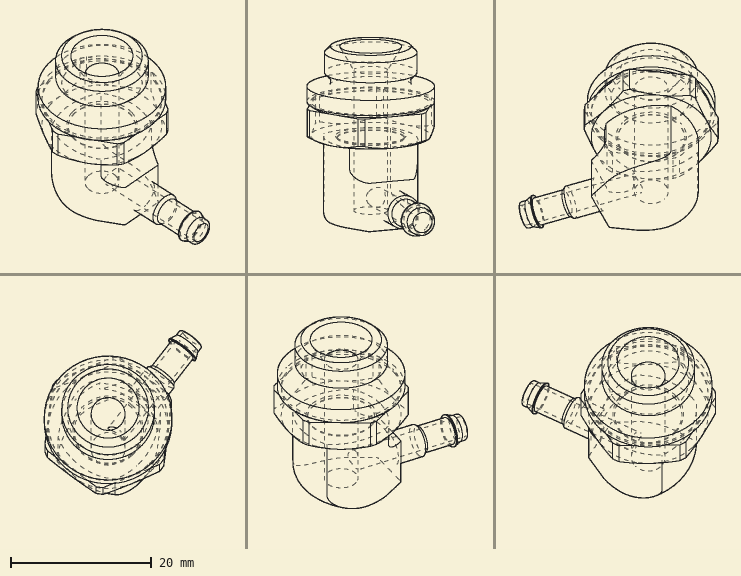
import cadquery as cq
import math

total_length = 28.57

total_height = 25.05
body_height = 11.7
nut_bottom = 12.03
nut_top = 16.63
flange_bottom = 17.03
flange_top = 19.25
thread_bottom = 21.25

thread_diameter = 13.17
thread_end_diameter = 11.45
groove_diameter = 11.45
flange_diameter = 18.15
ring_diameter = 17.0
neck_diameter = 9.55
thread_end_chamfer = 0.89
groove_cone_fillet = 0.3
groove_fillet = 0.43
neck_fillet = 0.23

nut_sides = 6
nut_across_flats = 17.03
nut_corner_diameter = 19.1
nut_chamfer_angle = 30

body_half_width = 6.49
side_radius = 9.7
side_offset = side_radius - body_half_width
heel_fillet = 2.97
foot_side_radius = 8.85
foot_end = 7.83
foot_height = 7.05
foot_fillet = 1.55
foot_face_start = 4.23
foot_face_angle = 30
foot_edge_fillet = 0.37

barb_axis_height = 3.55
barb_end = total_length - flange_diameter / 2
shank_diameter = 4.8
stem_diameter = 4.0
tip_diameter = 3.9
shank_end = 12.37
shoulder_end = 12.7
stem_start = 12.89
shoulder_diameter = 4.23
barb_start = 17.37
barb_land = 0.15
barb_rounding_length = 0.1
barb_rounding_drop = 0.05
barb_cone_end = 18.55
tip_fillet = 0.25
root_fillet = 0.3

bore_diameter = 4.8
mouth_diameter = 8.8
mouth_half_angle = 30
barb_bore_diameter = 2.9

diagonal = math.sqrt(0.5)


def make_stud():
    neck_r = neck_diameter / 2
    ring_r = ring_diameter / 2
    flange_r = flange_diameter / 2
    groove_r = groove_diameter / 2
    thread_r = thread_diameter / 2
    cone_end_r = groove_r + groove_cone_fillet * (1 - diagonal)
    cone_end_z = thread_bottom - (thread_r - cone_end_r)
    groove_floor_top = cone_end_z - groove_cone_fillet * diagonal
    half_cone_turn = math.radians(45 / 2)
    cone_arc_middle = (
        groove_r + groove_cone_fillet * (1 - math.cos(half_cone_turn)),
        groove_floor_top + groove_cone_fillet * math.sin(half_cone_turn),
    )
    arc_inset = groove_fillet * (1 - diagonal)
    return (
        cq.Workplane("XZ")
        .moveTo(0, body_height)
        .lineTo(neck_r, body_height)
        .lineTo(neck_r, nut_bottom - neck_fillet)
        .lineTo(neck_r + neck_fillet, nut_bottom)
        .lineTo(ring_r, nut_bottom)
        .lineTo(ring_r, flange_bottom)
        .lineTo(flange_r, flange_bottom)
        .lineTo(flange_r, flange_top)
        .lineTo(groove_r + groove_fillet, flange_top)
        .threePointArc(
            (groove_r + arc_inset, flange_top + arc_inset),
            (groove_r, flange_top + groove_fillet),
        )
        .lineTo(groove_r, groove_floor_top)
        .threePointArc(cone_arc_middle, (cone_end_r, cone_end_z))
        .lineTo(thread_r, thread_bottom)
        .lineTo(thread_r, total_height - thread_end_chamfer)
        .lineTo(thread_end_diameter / 2, total_height)
        .lineTo(0, total_height)
        .close()
        .revolve(360, (0, 0, 0), (0, 1, 0))
    )


def make_nut():
    flat_r = nut_across_flats / 2
    corner_r = nut_corner_diameter / 2
    half_sector = 180 / nut_sides
    hex_diameter = nut_across_flats / math.cos(math.radians(half_sector))
    chamfer_height = (corner_r - flat_r) * math.tan(math.radians(nut_chamfer_angle))
    hexagon = (
        cq.Workplane("XY", origin=(0, 0, nut_bottom))
        .transformed(rotate=(0, 0, half_sector))
        .polygon(nut_sides, hex_diameter)
        .extrude(nut_top - nut_bottom)
    )
    turned_blank = (
        cq.Workplane("XZ")
        .moveTo(0, nut_bottom)
        .lineTo(flat_r, nut_bottom)
        .lineTo(corner_r, nut_bottom + chamfer_height)
        .lineTo(corner_r, nut_top)
        .lineTo(0, nut_top)
        .close()
        .revolve(360, (0, 0, 0), (0, 1, 0))
    )
    return hexagon.intersect(turned_blank)


def make_plan():
    """Bulging -Y and +Y sides that run into the slanting faces and flat end of the foot."""
    slope = math.tan(math.radians(foot_face_angle))
    start_y = math.sqrt(side_radius**2 - foot_face_start**2) - side_offset
    end_y = start_y - (foot_end - foot_face_start) * slope
    back_y = math.sqrt(side_radius**2 - body_half_width**2) - side_offset
    return (
        cq.Workplane("XY")
        .moveTo(foot_end, -end_y)
        .lineTo(foot_end, end_y)
        .lineTo(foot_face_start, start_y)
        .threePointArc((0, body_half_width), (-body_half_width, back_y))
        .lineTo(-body_half_width, -back_y)
        .threePointArc((0, -body_half_width), (foot_face_start, -start_y))
        .close()
        .extrude(body_height)
        .edges("|Z and >X")
        .fillet(foot_edge_fillet)
    )


def make_foot_step():
    """The +X side above the foot bulges and blends into the foot top."""
    fillet_inset = foot_fillet * (1 - diagonal)
    outer_r = 2 * foot_side_radius
    return (
        cq.Workplane("XZ", origin=(body_half_width - foot_side_radius, 0, 0))
        .moveTo(0, 0)
        .lineTo(outer_r, 0)
        .lineTo(outer_r, foot_height)
        .lineTo(foot_side_radius + foot_fillet, foot_height)
        .threePointArc(
            (foot_side_radius + fillet_inset, foot_height + fillet_inset),
            (foot_side_radius, foot_height + foot_fillet),
        )
        .lineTo(foot_side_radius, body_height)
        .lineTo(0, body_height)
        .close()
        .revolve(360, (0, 0, 0), (0, 1, 0))
    )


def make_body():
    heel = (
        cq.Workplane("XY")
        .center(side_offset, 0)
        .circle(side_radius)
        .extrude(body_height)
        .edges("<Z")
        .fillet(heel_fillet)
    )
    return make_plan().intersect(heel).intersect(make_foot_step())


def make_barb():
    shank_r = shank_diameter / 2
    tip_r = tip_diameter / 2
    root_inset = root_fillet * (1 - diagonal)
    tip_inset = tip_fillet * (1 - diagonal)
    land_end = barb_start + barb_land
    return (
        cq.Workplane("XZ", origin=(0, 0, barb_axis_height))
        .lineTo(0, shank_r + root_fillet)
        .lineTo(foot_end, shank_r + root_fillet)
        .threePointArc(
            (foot_end + root_inset, shank_r + root_inset),
            (foot_end + root_fillet, shank_r),
        )
        .lineTo(shank_end, shank_r)
        .lineTo(shoulder_end, shoulder_diameter / 2)
        .lineTo(stem_start, stem_diameter / 2)
        .lineTo(barb_start, stem_diameter / 2)
        .lineTo(barb_start, shank_r)
        .lineTo(land_end, shank_r)
        .lineTo(land_end + barb_rounding_length, shank_r - barb_rounding_drop)
        .lineTo(barb_cone_end, tip_r)
        .lineTo(barb_end - tip_fillet, tip_r)
        .threePointArc(
            (barb_end - tip_inset, tip_r - tip_inset),
            (barb_end, tip_r - tip_fillet),
        )
        .lineTo(barb_end, 0)
        .close()
        .revolve(360, (0, 0, 0), (1, 0, 0))
    )


def make_passages():
    bore_r = bore_diameter / 2
    mouth_r = mouth_diameter / 2
    mouth_depth = (mouth_r - bore_r) / math.tan(math.radians(mouth_half_angle))
    bore_floor = barb_axis_height - bore_r
    stud_bore = (
        cq.Workplane("XZ")
        .moveTo(0, bore_floor)
        .lineTo(bore_r, bore_floor)
        .lineTo(bore_r, total_height - mouth_depth)
        .lineTo(mouth_r, total_height)
        .lineTo(0, total_height)
        .close()
        .revolve(360, (0, 0, 0), (0, 1, 0))
    )
    barb_bore = (
        cq.Workplane("YZ", origin=(0, 0, barb_axis_height))
        .circle(barb_bore_diameter / 2)
        .extrude(barb_end)
    )
    return stud_bore.union(barb_bore)


result = make_body().union(make_stud()).union(make_nut()).union(make_barb()).cut(make_passages())